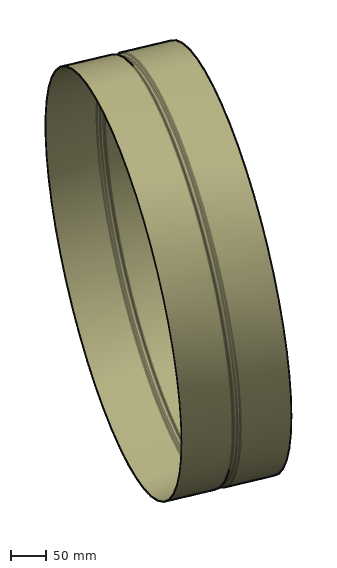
import cadquery as cq
import math

outer_diameter = 631.5
width = 163.0
wall = 0.5
groove_floor_diameter = 621.5
groove_width = 13.0
bend_radius = 1.5
flank_angle = math.radians(60)

outer_radius = outer_diameter / 2
floor_radius = groove_floor_diameter / 2
half_width = width / 2
groove_half = groove_width / 2

mouth_centre_radius = outer_radius - wall - bend_radius
floor_centre_radius = floor_radius + bend_radius

bend_sum = 2 * bend_radius + wall
groove_depth = outer_radius - floor_radius
flank_depth = groove_depth - bend_sum * (1 - math.cos(flank_angle))
flank_run = flank_depth / math.tan(flank_angle)
floor_half = groove_half - bend_sum * math.sin(flank_angle) - flank_run


def mouth_point(bend, angle, side):
    """Point on a mouth bend, turned by angle from its outermost point toward the floor."""
    radius = mouth_centre_radius + bend * math.cos(angle)
    return (radius, side * (groove_half - bend * math.sin(angle)))


def floor_point(bend, angle, side):
    """Point on a floor bend, turned by angle from the flat floor toward the flank."""
    radius = floor_centre_radius - bend * math.cos(angle)
    return (radius, side * (floor_half + bend * math.sin(angle)))


def face_path(sketch, mouth_bend, floor_bend, direction):
    """Draw one wall face through the groove; direction is +1 for -Y to +Y, -1 for back."""
    near = -direction
    far = direction
    face_radius = mouth_centre_radius + mouth_bend
    return (
        sketch.lineTo(face_radius, near * groove_half)
        .threePointArc(
            mouth_point(mouth_bend, flank_angle / 2, near),
            mouth_point(mouth_bend, flank_angle, near),
        )
        .lineTo(*floor_point(floor_bend, flank_angle, near))
        .threePointArc(
            floor_point(floor_bend, flank_angle / 2, near),
            floor_point(floor_bend, 0, near),
        )
        .lineTo(*floor_point(floor_bend, 0, far))
        .threePointArc(
            floor_point(floor_bend, flank_angle / 2, far),
            floor_point(floor_bend, flank_angle, far),
        )
        .lineTo(*mouth_point(mouth_bend, flank_angle, far))
        .threePointArc(
            mouth_point(mouth_bend, flank_angle / 2, far),
            (face_radius, far * groove_half),
        )
        .lineTo(face_radius, far * half_width)
    )


section = cq.Workplane("XY").moveTo(outer_radius, -half_width)
section = face_path(section, bend_radius + wall, bend_radius, 1)
section = section.lineTo(outer_radius - wall, half_width)
section = face_path(section, bend_radius, bend_radius + wall, -1).close()

result = section.revolve(360, (0, 0, 0), (0, 1, 0))